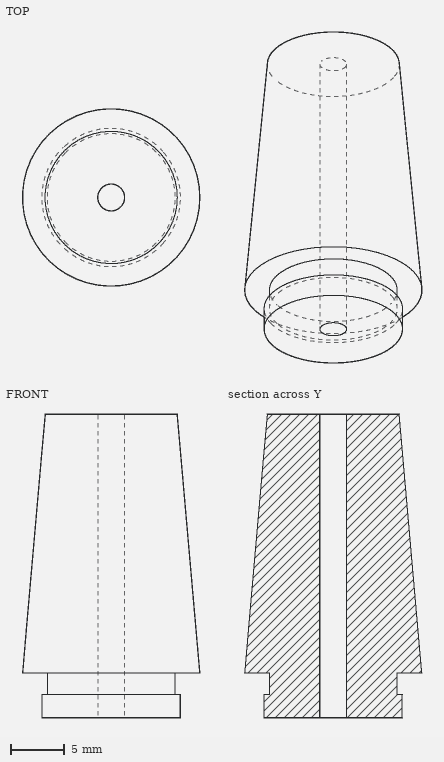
import cadquery as cq

total_height = 28.5
flange_height = 2.2
neck_height = 2.0

flange_diameter = 13.0
neck_diameter = 12.0
body_base_diameter = 16.65
body_top_diameter = 12.4
bore_diameter = 2.5

neck_bottom = flange_height
body_bottom = neck_bottom + neck_height


def make_turned_body():
    """Revolve the half profile: retaining flange, neck groove and tapered body."""
    half_profile = [
        (0, 0),
        (flange_diameter / 2, 0),
        (flange_diameter / 2, neck_bottom),
        (neck_diameter / 2, neck_bottom),
        (neck_diameter / 2, body_bottom),
        (body_base_diameter / 2, body_bottom),
        (body_top_diameter / 2, total_height),
        (0, total_height),
    ]
    return cq.Workplane("XZ").polyline(half_profile).close().revolve(360, (0, 0), (0, 1))


def make_bore():
    """Axial hole running the full height."""
    return cq.Workplane("XY").circle(bore_diameter / 2).extrude(total_height)


result = make_turned_body().cut(make_bore())